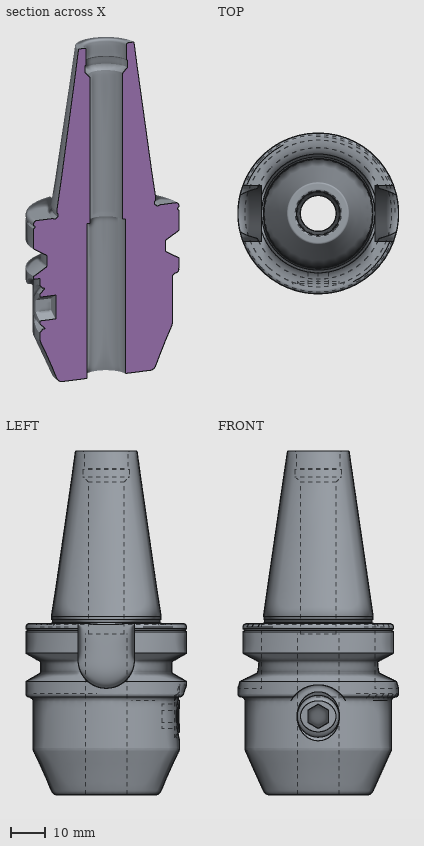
import cadquery as cq
import math


gauge_diameter = 31.75
taper_ratio = 7 / 24
shank_length = 48.4
shank_end_fillet = 0.5
taper_foot_z = 1.05
collar_radius = 15.6
collar_foot_z = 0.15
neck_radius = 15.4
neck_foot_z = -0.7
relief_outer_radius = 17.0
relief_inner_radius = 16.2
relief_depth = 0.3

flange_radius = 23.0
flange_top_z = -1.0
flange_bottom_z = -22.0
flange_edge_fillet = 1.0
flange_foot_fillet = 0.98
mark_groove_z = -2.9
mark_groove_half_width = 0.5
mark_groove_depth = 0.5
gripper_groove_top_z = -9.45
gripper_groove_bottom_z = -17.55
gripper_groove_radius = 18.8
gripper_groove_angle = 30
gripper_groove_fillet = 0.5

body_radius = 21.0
nose_z = -50.0
nose_cone_top_z = -37.0
nose_cone_radius = 15.15
cone_top_fillet = 1.5
nose_fillet = 2.0

pilot_diameter = 12.5
pilot_depth = 5.0
pilot_undercut_radius = 6.6
pilot_undercut_depth = 7.4
pilot_mouth_fillet = 0.7
pull_stud_hole_diameter = 10.2
tool_bore_diameter = 12.0
tool_bore_depth = 46.0

slot_width = 16.1
slot_floor_x = 16.25
slot_end_z = -19.5

screw_height = 22.5
screw_z = nose_z + screw_height
screw_radius = 6.0
screw_face_radius = 4.45
countersink_radius = 7.0
spotface_radius = 9.0
hex_across_flats = 6.0
hex_depth = 5.0

selection_margin = 0.05
overshoot = 1.0


def taper_radius(z):
    return (gauge_diameter - taper_ratio * z) / 2


def revolve_half_profile(points):
    return cq.Workplane("XZ").polyline(points).close().revolve(360, (0, 0, 0), (0, 1, 0))


def ring_at(radius, z):
    """Selector for the circular edge of the given radius and height about Z."""
    outer = radius + selection_margin
    inner = radius - selection_margin
    low = z - selection_margin
    high = z + selection_margin
    outer_box = cq.selectors.BoxSelector((-outer, -outer, low), (outer, outer, high), boundingbox=True)
    inner_box = cq.selectors.BoxSelector((-inner, -inner, low), (inner, inner, high), boundingbox=True)
    return outer_box - inner_box


def round_edge(part, radius, z, fillet):
    return part.edges(ring_at(radius, z)).fillet(fillet)


def cylinder_along_y(radius, y_start, y_end):
    """Cylinder on the screw axis between two Y positions."""
    plane = cq.Workplane("XZ", origin=(0, y_start, screw_z))
    return plane.circle(radius).extrude(y_start - y_end)


def make_outside():
    """Shank, flange, body and nose without openings."""
    groove_drop = (flange_radius - gripper_groove_radius) * math.tan(math.radians(gripper_groove_angle))
    groove_floor_top_z = gripper_groove_top_z - groove_drop
    groove_floor_bottom_z = gripper_groove_bottom_z + groove_drop
    mark_floor_radius = flange_radius - mark_groove_depth
    shank_end_radius = taper_radius(shank_length)

    outside = revolve_half_profile([
        (0, shank_length),
        (shank_end_radius, shank_length),
        (taper_radius(taper_foot_z), taper_foot_z),
        (collar_radius, taper_foot_z),
        (collar_radius, collar_foot_z),
        (neck_radius, collar_foot_z),
        (neck_radius, neck_foot_z),
        (relief_inner_radius, flange_top_z - relief_depth),
        (relief_outer_radius, flange_top_z),
        (flange_radius, flange_top_z),
        (flange_radius, mark_groove_z + mark_groove_half_width),
        (mark_floor_radius, mark_groove_z),
        (flange_radius, mark_groove_z - mark_groove_half_width),
        (flange_radius, gripper_groove_top_z),
        (gripper_groove_radius, groove_floor_top_z),
        (gripper_groove_radius, groove_floor_bottom_z),
        (flange_radius, gripper_groove_bottom_z),
        (flange_radius, flange_bottom_z),
        (body_radius, flange_bottom_z),
        (body_radius, nose_cone_top_z),
        (nose_cone_radius, nose_z),
        (0, nose_z),
    ])

    outside = round_edge(outside, shank_end_radius, shank_length, shank_end_fillet)
    outside = round_edge(outside, flange_radius, flange_top_z, flange_edge_fillet)
    outside = round_edge(outside, gripper_groove_radius, groove_floor_top_z, gripper_groove_fillet)
    outside = round_edge(outside, gripper_groove_radius, groove_floor_bottom_z, gripper_groove_fillet)
    outside = round_edge(outside, flange_radius, flange_bottom_z, flange_edge_fillet)
    outside = round_edge(outside, body_radius, flange_bottom_z, flange_foot_fillet)
    outside = round_edge(outside, body_radius, nose_cone_top_z, cone_top_fillet)
    return round_edge(outside, nose_cone_radius, nose_z, nose_fillet)


def make_bores():
    pilot_radius = pilot_diameter / 2
    hole_radius = pull_stud_hole_diameter / 2
    tool_radius = tool_bore_diameter / 2
    pilot_floor_z = shank_length - pilot_depth
    tool_bore_top_z = nose_z + tool_bore_depth
    undercut_step = pilot_undercut_radius - pilot_radius
    undercut_foot_z = shank_length - pilot_undercut_depth
    mouth_center_radius = pilot_radius + pilot_mouth_fillet
    mouth_center_z = shank_length - pilot_mouth_fillet
    arc_offset = pilot_mouth_fillet * math.sqrt(0.5)
    profile = (
        cq.Workplane("XZ")
        .moveTo(0, shank_length)
        .lineTo(mouth_center_radius, shank_length)
        .threePointArc(
            (mouth_center_radius - arc_offset, mouth_center_z + arc_offset),
            (pilot_radius, mouth_center_z),
        )
        .lineTo(pilot_radius, pilot_floor_z)
        .lineTo(pilot_undercut_radius, pilot_floor_z - undercut_step)
        .lineTo(pilot_undercut_radius, undercut_foot_z)
        .lineTo(hole_radius, undercut_foot_z - (pilot_undercut_radius - hole_radius))
        .lineTo(hole_radius, tool_bore_top_z)
        .lineTo(tool_radius, tool_bore_top_z)
        .lineTo(tool_radius, nose_z)
        .lineTo(0, nose_z)
        .close()
    )
    return profile.revolve(360, (0, 0, 0), (0, 1, 0))


def make_drive_slot(side):
    """Slot with a half-round lower end, open at the top; side is -1 or +1."""
    half_width = slot_width / 2
    arc_center_z = slot_end_z + half_width
    outline = (
        cq.Workplane("YZ", origin=(side * slot_floor_x, 0, 0))
        .moveTo(-half_width, flange_top_z)
        .lineTo(-half_width, arc_center_z)
        .threePointArc((0, slot_end_z), (half_width, arc_center_z))
        .lineTo(half_width, flange_top_z)
        .close()
    )
    return outline.extrude(side * flange_radius)


def make_spotface():
    """Clears the flange around the screw down to the body surface."""
    cutter = cylinder_along_y(spotface_radius, 0, -flange_radius - overshoot)
    body_height = flange_top_z - nose_z
    core = cq.Workplane("XY", origin=(0, 0, nose_z)).circle(body_radius).extrude(body_height)
    return cutter.cut(core)


def make_screw_recess():
    """Ring between the countersunk hole and the chamfered, socketed screw."""
    hole_edge_y = -body_radius + countersink_radius - screw_radius
    rim_y = -body_radius - overshoot
    chamfer_foot_y = -body_radius + screw_radius - screw_face_radius
    return (
        cq.Workplane("XY")
        .polyline([
            (screw_face_radius - overshoot, rim_y),
            (countersink_radius + overshoot, rim_y),
            (screw_radius, hole_edge_y),
            (screw_radius, chamfer_foot_y),
        ])
        .close()
        .revolve(360, (0, 0, 0), (0, 1, 0))
        .translate((0, 0, screw_z))
    )


def make_screw_socket():
    across_corners = hex_across_flats / math.cos(math.pi / 6)
    return (
        cq.Workplane("XZ", origin=(0, hex_depth - body_radius, screw_z))
        .transformed(rotate=(0, 0, 90))
        .polygon(6, across_corners)
        .extrude(hex_depth)
    )


result = make_outside().cut(make_bores())
for side in (-1, 1):
    result = result.cut(make_drive_slot(side))
result = result.cut(make_spotface()).cut(make_screw_recess()).cut(make_screw_socket())